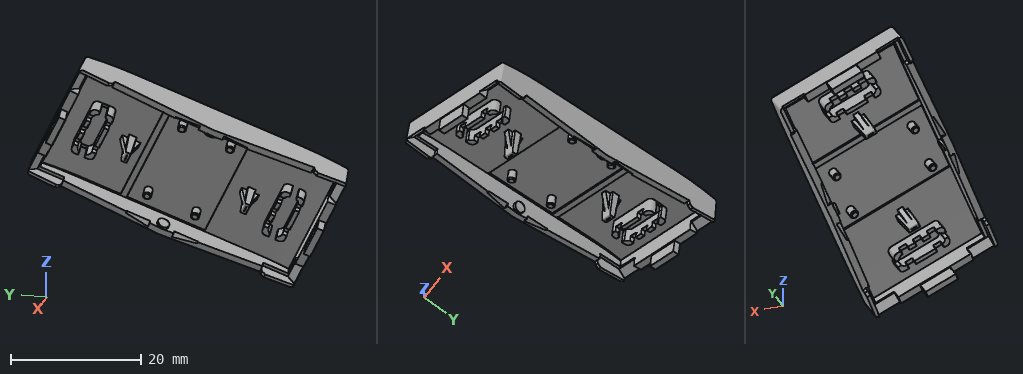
import cadquery as cq
import math

TILT_ABOUT_Y = 33.1
TILT_ABOUT_X = 20.0

HALF_LENGTH = 22.1
HALF_WIDTH = 11.05
SHELL_DEPTH = 6.55
END_DRAFT = 3.0
FLAT_HALF_LENGTH = 13.9
CROWN_RADIUS = 49.15
EDGE_RADIUS = 0.5

RIM_MIDDLE = -5.7
RIM_NOTCH = -4.25
FOOT_START = 16.7
FOOT_SHOULDER = 16.95
FOOT_TIP = 17.55
FOOT_SHOULDER_Z = -4.75
FOOT_TIP_Z = -5.2
RIM_END = -4.8

INNER_HALF_WIDTH = 9.85
INNER_HALF_LENGTH = 21.0
CEILING_HALF_LENGTH = 20.75
CEILING = -1.85
CEILING_FLAT_HALF_LENGTH = 15.35
CROWN_DROP = 0.95
RECESS_CEILING = -1.6
RECESS_HALF_WIDTH = INNER_HALF_WIDTH - 0.05
CROSS_RIB_START = 6.55
CROSS_RIB_END = 7.6
THROUGH = 28.07

FOOT_RELIEF_HALF_WIDTH = 10.45
FOOT_RELIEF_TOP = -3.3
END_BEVEL_OUTER_Y = 22.55
END_BEVEL_OUTER_Z = -4.65
END_CENTRE_HALF_WIDTH = 6.55

TONGUE_HALF_WIDTH = 2.7
TONGUE_INNER = 21.1
TONGUE_OUTER = 22.23
TONGUE_TIP = -7.0
TONGUE_ROOT = -4.2

RIM_BEVEL_START = 2.0
RIM_BEVEL_END = 6.0
RIM_BEVEL_TOP = -5.0
RIM_BEVEL_DEPTH = 0.95
RIM_BEVEL_RUN = 1.35
STUD_RADIUS = 0.95
STUD_Z = -4.7
STUD_HEIGHT = 0.5
STUD_BEVEL_START = -0.25
STUD_BEVEL_END_HEIGHT = 0.35

PEG_X = 7.05
PEG_Y = 4.02
PEG_RADIUS = 0.65
PEG_TIP = -3.3
PEG_CHAMFER = 0.2

POST_Y = 10.0
POST_BASE = (2.25, 1.25)
POST_TIP = (1.85, 0.95)
POST_TIP_Z = -6.0
POST_ROUNDING = 0.2
GUSSET_HALF_WIDTH = 1.55
GUSSET_HALF_THICKNESS = 0.45
GUSSET_TIP_Z = -6.1

COLLAR_Y = 16.0
COLLAR_X = -0.05
COLLAR_LENGTH = 9.1
COLLAR_WIDTH = 3.75
COLLAR_CORNER = 0.75
COLLAR_INNER_CORNER = 1.05
COLLAR_SIDE_WALL = 0.7
COLLAR_END_WALL = 0.5
COLLAR_TIP = -4.02
COLLAR_SLOT = 1.08
COLLAR_SILL = 0.15
COLLAR_NOTCH_DEPTH = 0.95
COLLAR_NOTCH_WIDTH = 1.25
COLLAR_NOTCH_ENDS = (-2.05, 3.0)
COLLAR_SINGLE_NOTCH_END = 0.45

ROOT = -0.95


def crowned_profile(level, flat_half, radius, half_length, bottom):
    """Side outline (Y, Z) with a flat top at `level` that curves down towards both ends.

    `half_length` holds the half lengths at the top and at the bottom.
    """

    def crown(y):
        return level - radius + math.sqrt(radius**2 - (y - flat_half) ** 2)

    top, base = half_length
    middle = (flat_half + top) / 2
    return (
        cq.Workplane("YZ")
        .moveTo(-base, bottom)
        .lineTo(-top, crown(top))
        .threePointArc((-middle, crown(middle)), (-flat_half, level))
        .lineTo(flat_half, level)
        .threePointArc((middle, crown(middle)), (top, crown(top)))
        .lineTo(base, bottom)
        .close()
    )


def box(x0, x1, y0, y1, z0, z1):
    return cq.Workplane("XY").box(x1 - x0, y1 - y0, z1 - z0, centered=False).translate((x0, y0, z0))


def outer_block():
    spread = SHELL_DEPTH * math.tan(math.radians(END_DRAFT))
    block = crowned_profile(
        0, FLAT_HALF_LENGTH, CROWN_RADIUS, (HALF_LENGTH, HALF_LENGTH + spread), -SHELL_DEPTH
    ).extrude(HALF_WIDTH, both=True)
    return block.edges("not(<Z)").fillet(EDGE_RADIUS)


def below_rim():
    half = [
        (FOOT_START, RIM_NOTCH),
        (FOOT_SHOULDER, FOOT_SHOULDER_Z),
        (FOOT_TIP, FOOT_TIP_Z),
        (HALF_LENGTH, RIM_END),
        (THROUGH, RIM_END),
        (THROUGH, -THROUGH),
    ]
    mirrored = [(-y, z) for y, z in reversed(half)]
    outline = mirrored + [(0, RIM_MIDDLE)] + half
    return cq.Workplane("YZ").polyline(outline).close().extrude(THROUGH, both=True)


def cavity():
    hollow = crowned_profile(
        CEILING, CEILING_FLAT_HALF_LENGTH, CROWN_RADIUS,
        (CEILING_HALF_LENGTH, INNER_HALF_LENGTH), -SHELL_DEPTH,
    ).extrude(INNER_HALF_WIDTH, both=True)
    raised = crowned_profile(
        RECESS_CEILING, FLAT_HALF_LENGTH, CROWN_RADIUS,
        (CEILING_HALF_LENGTH, CEILING_HALF_LENGTH), CEILING - CROWN_DROP,
    ).extrude(RECESS_HALF_WIDTH, both=True)
    for y0, y1 in ((-CROSS_RIB_START, CROSS_RIB_START), (CROSS_RIB_END, THROUGH)):
        hollow = hollow.union(raised.intersect(box(-THROUGH, THROUGH, y0, y1, -THROUGH, 0)))
    return hollow


def corner_relief():
    """Thins one foot and bevels the end wall beside it (+X, +Y corner)."""
    outline = [
        (FOOT_START, -THROUGH),
        (FOOT_START, FOOT_RELIEF_TOP),
        (INNER_HALF_LENGTH, FOOT_RELIEF_TOP),
        (END_BEVEL_OUTER_Y, END_BEVEL_OUTER_Z),
        (END_BEVEL_OUTER_Y, -THROUGH),
    ]
    return (
        cq.Workplane("YZ", origin=(END_CENTRE_HALF_WIDTH, 0, 0))
        .polyline(outline)
        .close()
        .extrude(FOOT_RELIEF_HALF_WIDTH - END_CENTRE_HALF_WIDTH)
    )


def rim_bevel():
    """Bevel inside the rim of the +X wall, on the +Y side of the middle."""
    bevel_end = (INNER_HALF_WIDTH + RIM_BEVEL_RUN, RIM_BEVEL_TOP - RIM_BEVEL_DEPTH)
    return (
        cq.Workplane("XZ", origin=(0, RIM_BEVEL_START, 0))
        .polyline([
            (INNER_HALF_WIDTH, RIM_BEVEL_TOP),
            bevel_end,
            (INNER_HALF_WIDTH, RIM_BEVEL_TOP - RIM_BEVEL_DEPTH),
        ])
        .close()
        .extrude(RIM_BEVEL_START - RIM_BEVEL_END)
    )


def four_ways(shape):
    pair = shape.union(shape.mirror("YZ"))
    return pair.union(pair.mirror("XZ"))


def tongue(side):
    y0, y1 = sorted((side * TONGUE_INNER, side * TONGUE_OUTER))
    return box(-TONGUE_HALF_WIDTH, TONGUE_HALF_WIDTH, y0, y1, TONGUE_TIP, TONGUE_ROOT)


def stud(side):
    """Round stud on the inside of one side wall, its end bevelled on the open side."""
    face = INNER_HALF_WIDTH - STUD_HEIGHT
    low_face = INNER_HALF_WIDTH - STUD_BEVEL_END_HEIGHT
    outline = [
        (FOOT_RELIEF_HALF_WIDTH, STUD_Z + STUD_RADIUS),
        (face, STUD_Z + STUD_RADIUS),
        (face, STUD_Z + STUD_BEVEL_START),
        (low_face, STUD_Z - STUD_RADIUS),
        (FOOT_RELIEF_HALF_WIDTH, STUD_Z - STUD_RADIUS),
    ]
    envelope = cq.Workplane("XZ").polyline(outline).close().extrude(STUD_RADIUS, both=True)
    rod = cq.Workplane("YZ", origin=(0, 0, STUD_Z)).circle(STUD_RADIUS).extrude(HALF_WIDTH)
    shape = rod.intersect(envelope)
    return shape if side > 0 else shape.mirror("YZ")


def peg():
    return (
        cq.Workplane("XY", origin=(PEG_X, PEG_Y, PEG_TIP))
        .circle(PEG_RADIUS)
        .extrude(ROOT - PEG_TIP)
        .faces("<Z")
        .chamfer(PEG_CHAMFER)
    )


def post(y):
    column = (
        cq.Workplane("XY", origin=(0, y, RECESS_CEILING))
        .rect(*POST_BASE)
        .workplane(offset=POST_TIP_Z - RECESS_CEILING)
        .rect(*POST_TIP)
        .loft(combine=True)
        .faces("<Z")
        .edges("|X")
        .fillet(POST_ROUNDING)
    )
    gusset = (
        cq.Workplane("YZ", origin=(0, y, 0))
        .polyline([
            (-GUSSET_HALF_WIDTH, RECESS_CEILING),
            (0, GUSSET_TIP_Z),
            (GUSSET_HALF_WIDTH, RECESS_CEILING),
        ])
        .close()
        .extrude(GUSSET_HALF_THICKNESS, both=True)
    )
    return column.union(gusset)


def collar(y):
    height = ROOT - COLLAR_TIP
    centre = cq.Workplane("XY", origin=(COLLAR_X, y, COLLAR_TIP))
    outside = centre.rect(COLLAR_LENGTH, COLLAR_WIDTH).extrude(height).edges("|Z").fillet(COLLAR_CORNER)
    inside_length = COLLAR_LENGTH - 2 * COLLAR_END_WALL
    inside_width = COLLAR_WIDTH - 2 * COLLAR_SIDE_WALL
    inside = centre.rect(inside_length, inside_width).extrude(RECESS_CEILING - COLLAR_TIP)
    inside = inside.edges("|Z").fillet(COLLAR_INNER_CORNER)
    slot = centre.rect(THROUGH, COLLAR_SLOT).extrude(RECESS_CEILING - COLLAR_SILL - COLLAR_TIP)
    ring = outside.cut(inside).cut(slot)
    notches = [(end, y - COLLAR_WIDTH) for end in COLLAR_NOTCH_ENDS]
    notches.append((COLLAR_SINGLE_NOTCH_END, y))
    for end, y0 in notches:
        ring = ring.cut(box(
            end - COLLAR_NOTCH_WIDTH, end, y0, y + COLLAR_WIDTH,
            COLLAR_TIP, COLLAR_TIP + COLLAR_NOTCH_DEPTH,
        ))
    return ring


body = outer_block().cut(below_rim()).cut(cavity())
body = body.cut(four_ways(corner_relief())).cut(four_ways(rim_bevel()))
for side in (-1, 1):
    body = body.union(tongue(side))
    body = body.union(post(side * POST_Y))
    body = body.union(collar(side * COLLAR_Y))
    body = body.union(stud(side))
body = body.union(four_ways(peg()))

result = body.rotate((0, 0, 0), (0, 1, 0), TILT_ABOUT_Y).rotate((0, 0, 0), (1, 0, 0), TILT_ABOUT_X)